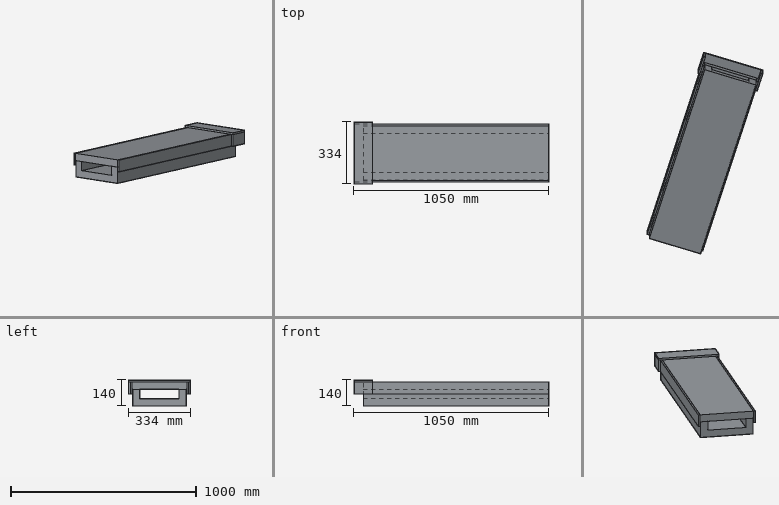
import cadquery as cq

total_length = 1050.0
total_width = 334.0
total_height = 140.0
cover_length = 100.0
cover_overhang = 50.0
plate_thickness = 10.0
side_height = 65.0
slab_thickness = 40.0
channel_width = 290.0
channel_wall = 40.0
channel_floor = 40.0

body_length = total_length - cover_overhang
plate_bottom = total_height - plate_thickness
side_bottom = plate_bottom - side_height
channel_height = plate_bottom - slab_thickness
rail_outer_y = total_width / 2 - plate_thickness
slab_width = 2 * (rail_outer_y - plate_thickness)


def block(length, width, height, start_x, bottom_z, center_y=0.0):
    """Box placed by its -X end, its underside and its centre in Y."""
    box = cq.Workplane("XY").box(length, width, height, centered=(False, True, False))
    return box.translate((start_x, center_y, bottom_z))


def make_channel():
    """U-shaped base, open at the top and at both ends."""
    outer = block(body_length, channel_width, channel_height, cover_overhang, 0)
    cavity_width = channel_width - 2 * channel_wall
    cavity_height = channel_height - channel_floor
    cavity = block(body_length, cavity_width, cavity_height, cover_overhang, channel_floor)
    return outer.cut(cavity)


def make_slab():
    """Flat top closing the channel."""
    return block(body_length, slab_width, slab_thickness, cover_overhang, channel_height)


def make_side_rail(side):
    """Long strip against one edge of the slab; side is -1 or +1 along Y."""
    center_y = side * (rail_outer_y - plate_thickness / 2)
    return block(body_length, plate_thickness, side_height, cover_overhang, side_bottom, center_y)


def make_cover_plate():
    """Plate lying across the -X end of the slab and rails."""
    return block(cover_length, total_width, plate_thickness, 0, plate_bottom)


def make_cover_cheek(side):
    """Short plate under one edge of the cover plate, outside the rail."""
    center_y = side * (rail_outer_y + plate_thickness / 2)
    return block(cover_length, plate_thickness, side_height, 0, side_bottom, center_y)


sides = (-1, 1)
channel = make_channel()
slab = make_slab()
cover_plate = make_cover_plate()
side_rails = [make_side_rail(side) for side in sides]
cover_cheeks = [make_cover_cheek(side) for side in sides]

result = cq.Compound.makeCompound([
    channel.val(),
    slab.val(),
    cover_plate.val(),
    *[rail.val() for rail in side_rails],
    *[cheek.val() for cheek in cover_cheeks],
])